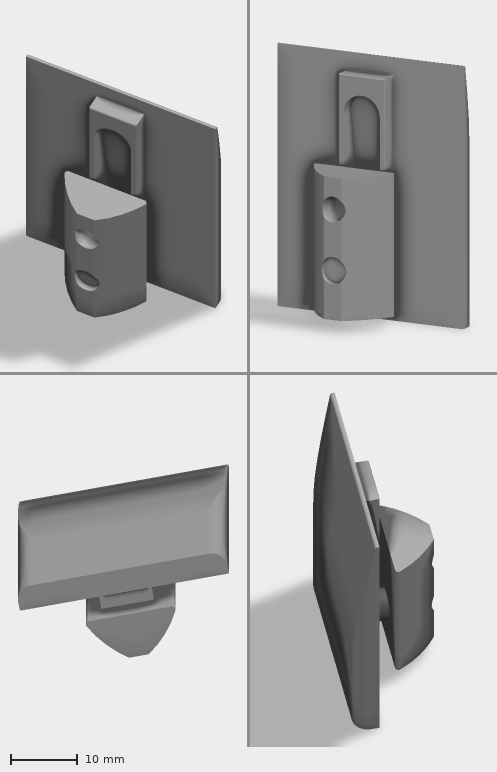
import cadquery as cq
import math

plate_width = 32.0
plate_height = 40.5
slab_thickness = 3.75
slab_corner_radius = 2.4
taper_angle = math.radians(8.7)
taper_start_z = plate_height / 2
taper_blend_radius = 45.0
top_edge_radius = 0.4

pad_width = 8.0
pad_height = 36.7
pad_bottom_z = 1.0
pad_thickness = 2.65
pad_edge_radius = 0.25
pad_foot_radius = 0.2

block_width = 14.3
block_nose_width = 3.0
block_depth = 7.0
block_height = 22.0
block_bottom_z = 1.9
block_side_radius = 17.0
block_corner_radius = 0.5
block_gap = 1.8

pin_z = 9.5
pin_shoulder_diameter = 5.0
pin_shank_diameter = 4.2
pin_end_depth = 1.0
drill_z = 18.9
drill_diameter = 4.0
drill_depth = 4.5
drill_tip_angle = math.radians(118.0)

recess_width = 6.3
recess_top_z = 34.7
recess_bottom_z = 13.0
recess_depth_at_taper_start = 4.0

pad_front_y = -pad_thickness
block_back_y = pad_front_y - block_gap
block_front_y = block_back_y - block_depth
recess_floor_y = pad_front_y + recess_depth_at_taper_start


def leaning_y(z, start_y):
    """Y at height z on a plane that leans forward with height, through start_y at the taper start."""
    return start_y - (z - taper_start_z) * math.tan(taper_angle)


def make_tapered_profile():
    """Slab section across X: back flat below, leaning forward above, with a blended bend."""
    half_angle = taper_angle / 2
    blend = taper_blend_radius * math.tan(half_angle)
    bend_start_z = taper_start_z - blend
    bend_mid_y = slab_thickness - taper_blend_radius * (1 - math.cos(half_angle))
    bend_mid_z = bend_start_z + taper_blend_radius * math.sin(half_angle)
    bend_end_z = taper_start_z + blend * math.cos(taper_angle)
    return (
        cq.Workplane("YZ", origin=(-plate_width / 2, 0, 0))
        .lineTo(slab_thickness, 0)
        .lineTo(slab_thickness, bend_start_z)
        .threePointArc((bend_mid_y, bend_mid_z), (leaning_y(bend_end_z, slab_thickness), bend_end_z))
        .lineTo(leaning_y(plate_height, slab_thickness), plate_height)
        .lineTo(0, plate_height)
        .close()
        .extrude(plate_width)
        .faces(">Z")
        .edges(">Y")
        .fillet(top_edge_radius)
    )


def make_slab():
    rounded = (
        cq.Workplane("XY")
        .rect(plate_width, 2 * slab_thickness)
        .extrude(plate_height)
        .edges("|Z and >Y")
        .fillet(slab_corner_radius)
    )
    return make_tapered_profile().intersect(rounded)


def make_pad():
    pad_center_z = pad_bottom_z + pad_height / 2
    return (
        cq.Workplane("XZ", origin=(0, 0, pad_center_z))
        .rect(pad_width, pad_height)
        .extrude(pad_thickness)
        .faces("<Y")
        .edges()
        .fillet(pad_edge_radius)
    )


def make_recess():
    """Slot with round ends and a floor parallel to the leaning back of the slab."""
    length = recess_top_z - recess_bottom_z
    slot = (
        cq.Workplane("XZ", origin=(0, pad_front_y, recess_bottom_z + length / 2))
        .slot2D(length, recess_width, 90)
        .extrude(-(pad_thickness + slab_thickness))
    )
    in_front_of_floor = (
        cq.Workplane("YZ", origin=(-recess_width / 2, 0, 0))
        .polyline([
            (pad_front_y, recess_bottom_z),
            (leaning_y(recess_bottom_z, recess_floor_y), recess_bottom_z),
            (leaning_y(recess_top_z, recess_floor_y), recess_top_z),
            (pad_front_y, recess_top_z),
        ])
        .close()
        .extrude(recess_width)
    )
    return slot.intersect(in_front_of_floor)


def make_plate():
    body = make_slab().union(make_pad())
    margin = pad_foot_radius / 2
    foot = cq.selectors.BoxSelector(
        (-pad_width, -margin, pad_bottom_z - margin),
        (pad_width, margin, pad_bottom_z + pad_height + margin),
    )
    body = body.edges(foot).fillet(pad_foot_radius)
    return body.cut(make_recess())


def cylinder_along_y(diameter, from_y, to_y, z):
    return cq.Workplane("XZ", origin=(0, from_y, z)).circle(diameter / 2).extrude(from_y - to_y)


def make_drill():
    radius = drill_diameter / 2
    tip_length = radius / math.tan(drill_tip_angle / 2)
    return (
        cq.Workplane("XY", origin=(0, block_front_y, drill_z))
        .polyline([(0, 0), (radius, 0), (radius, drill_depth), (0, drill_depth + tip_length)])
        .close()
        .revolve(360, (0, 0), (0, 1))
    )


def make_block():
    nose = (block_nose_width / 2, block_front_y)
    corner = (block_width / 2, block_back_y)
    chord = math.dist(nose, corner)
    bulge = block_side_radius - math.sqrt(block_side_radius**2 - (chord / 2) ** 2)
    side_x = (nose[0] + corner[0]) / 2 + bulge * block_depth / chord
    side_y = (nose[1] + corner[1]) / 2 - bulge * (corner[0] - nose[0]) / chord
    body = (
        cq.Workplane("XY", origin=(0, 0, block_bottom_z))
        .moveTo(-nose[0], nose[1])
        .lineTo(*nose)
        .threePointArc((side_x, side_y), corner)
        .lineTo(-corner[0], corner[1])
        .threePointArc((-side_x, side_y), (-nose[0], nose[1]))
        .close()
        .extrude(block_height)
        .edges("|Z and >Y")
        .fillet(block_corner_radius)
    )
    pin_hole = cylinder_along_y(pin_shank_diameter, block_back_y, block_front_y, pin_z)
    return body.cut(pin_hole).cut(make_drill())


def make_pin():
    """Shoulder from the pad to the block, then a shank that stops inside the block."""
    shoulder = cylinder_along_y(pin_shoulder_diameter, pad_front_y, block_back_y, pin_z)
    shank = cylinder_along_y(pin_shank_diameter, block_back_y, block_front_y + pin_end_depth, pin_z)
    return shoulder.union(shank)


plate = make_plate()
block = make_block()
pin = make_pin()

result = cq.Compound.makeCompound([plate.val(), block.val(), pin.val()])